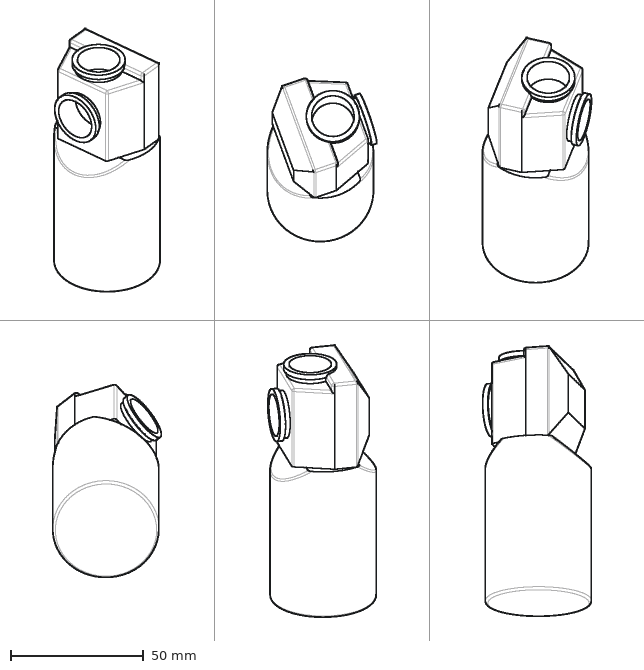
import cadquery as cq

margin = 0.1
clearance = 1.0

body_radius = 20.02
body_height = 60.0
body_edge_radius = 1.0
slope_start = 10.0
slope_drop = 8.0
slope_edge_radius = 1.0

head_top = 95.0
head_half_width = 18.0
front_y = -15.0
front_half_width = 12.0
back_start_y = 8.7
back_y = 15.0
back_half_width = 12.0
back_inset = 10.0
step_y = -1.0
ledge_z = 92.0
edge_radius = 1.0

port_bore_radius = 8.0
bore_depth = 10.0
port_neck_radius = 9.0
port_flange_radius = 10.0
flange_thickness = 2.0
top_port_y = -5.0
top_port_end = 96.0
front_port_z = 76.5
front_port_end = -19.0


def edges_within(solid, y_range, z_range):
    """Edges whose centres lie in the given ranges, at any X."""
    return solid.edges(cq.selectors.BoxSelector(
        (-body_radius, y_range[0] - margin, z_range[0] - margin),
        (body_radius, y_range[1] + margin, z_range[1] + margin),
    ))


def make_body():
    """Round body with a sloping flat at the front and rear of its top."""
    body = cq.Workplane("XY").circle(body_radius).extrude(body_height)
    body = body.faces("<Z").edges().fillet(body_edge_radius)
    for side in (-1, 1):
        slope = (
            cq.Workplane("YZ")
            .moveTo(side * slope_start, body_height)
            .lineTo(side * body_radius, body_height - slope_drop)
            .lineTo(side * body_radius, body_height)
            .close()
            .extrude(body_radius, both=True)
        )
        body = body.cut(slope)
    slope_bottom = body_height - slope_drop
    rim_z = (slope_bottom - clearance, body_height - clearance)
    rims = edges_within(body, (-body_radius, -slope_start - clearance), rim_z)
    rims = rims.add(edges_within(body, (slope_start + clearance, body_radius), rim_z))
    return rims.fillet(slope_edge_radius)


def make_head_front():
    """Block with tapered cheeks and a low front ledge."""
    block = (
        cq.Workplane("XY", origin=(0, 0, body_height))
        .moveTo(-front_half_width, front_y)
        .lineTo(front_half_width, front_y)
        .lineTo(head_half_width, 0)
        .lineTo(head_half_width, back_start_y)
        .lineTo(-head_half_width, back_start_y)
        .lineTo(-head_half_width, 0)
        .close()
        .extrude(head_top - body_height)
    )
    ledge = (
        cq.Workplane("XY", origin=(0, 0, ledge_z))
        .rect(2 * head_half_width, 2 * abs(front_y))
        .extrude(head_top - ledge_z)
        .translate((0, step_y + front_y, 0))
    )
    return block.cut(ledge)


def make_head_rear():
    """Rear of the head, a frustum narrowing to a small flat face."""
    height = head_top - body_height
    middle_z = body_height + height / 2
    return (
        cq.Workplane("XZ", origin=(0, back_start_y, middle_z))
        .rect(2 * head_half_width, height)
        .workplane(offset=back_start_y - back_y)
        .rect(2 * back_half_width, height - 2 * back_inset)
        .loft()
    )


def make_head():
    """Head with its exposed edges rounded."""
    head = make_head_front().union(make_head_rear())
    middle_z = (body_height + head_top) / 2
    edge_regions = (
        ((front_y, front_y), (body_height + clearance, ledge_z)),
        ((front_y + clearance, step_y - clearance), (ledge_z, ledge_z)),
        ((step_y, step_y), (ledge_z + clearance, head_top)),
        ((step_y + 2 * margin, back_start_y), (head_top, head_top)),
        ((back_start_y, back_start_y), (middle_z, middle_z)),
    )
    rounded = head.newObject([])
    for y_range, z_range in edge_regions:
        rounded = rounded.add(edges_within(head, y_range, z_range))
    return rounded.fillet(edge_radius)


def make_port(mouth, root_length):
    """Neck and flange on a mouth plane, running root_length inward."""
    neck = mouth.circle(port_neck_radius).extrude(-root_length)
    flange = mouth.circle(port_flange_radius).extrude(-flange_thickness)
    return neck.union(flange)


top_mouth = cq.Workplane("XY", origin=(0, top_port_y, top_port_end))
front_mouth = cq.Workplane("XZ", origin=(0, front_port_end, front_port_z))

result = make_body().union(make_head())
result = result.union(make_port(top_mouth, top_port_end - ledge_z))
result = result.union(make_port(front_mouth, front_y - front_port_end))

for mouth in (top_mouth, front_mouth):
    result = result.cut(mouth.circle(port_bore_radius).extrude(-bore_depth))